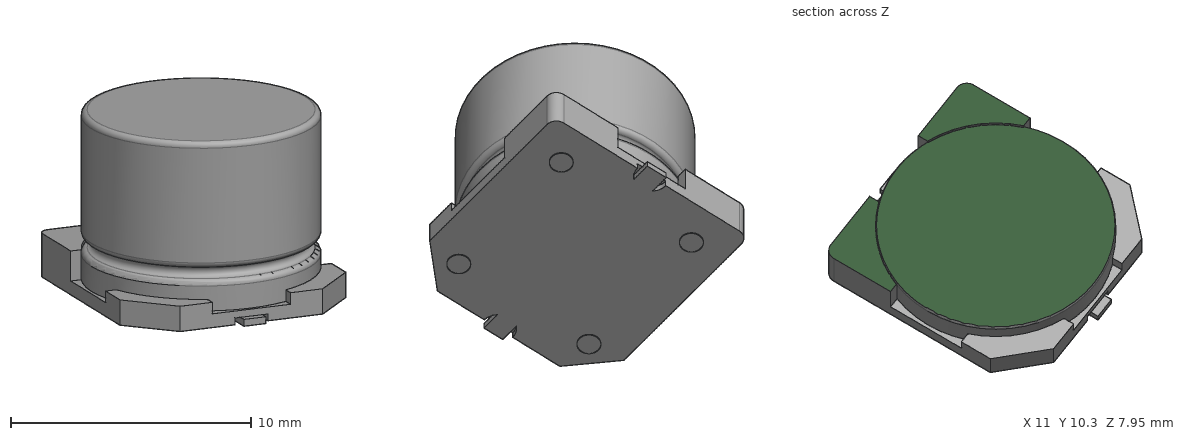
import cadquery as cq

BASE_WIDTH = 10.3
BASE_HEIGHT = 1.9
LOW_CORNER_HEIGHT = 1.1
CORNER_RADIUS = 0.5
CORNER_CHAMFER = 1.9
NOTCH_WIDTH = 3.57
NOTCH_FLOOR = 0.6

CAN_RADIUS = 5.0
CAN_TOP = 7.9
CAN_EDGE_RADIUS = 0.25
GROOVE_CENTRE_Z = 2.18
GROOVE_RADIUS = 0.25

LEAD_SPAN = 11.0
LEAD_WIDTH = 1.0
LEAD_THICKNESS = 0.3
RECESS_RADIUS = 0.75

FOOT_DIAMETER = 1.0
FOOT_HEIGHT = 0.05
FOOT_SPACING = 6.9


def make_lead_recesses():
    """Tool bodies for the half-round recesses at the bottom of the -X and +X sides."""
    wall_x = BASE_WIDTH / 2
    return (
        cq.Workplane("XY")
        .pushPoints([(-wall_x, 0), (wall_x, 0)])
        .circle(RECESS_RADIUS)
        .extrude(LEAD_THICKNESS)
    )


def make_base():
    """Square plate, rounded at -X, chamfered and lowered at +X, with side notches and a can seat."""
    half = BASE_WIDTH / 2
    base = cq.Workplane("XY").rect(BASE_WIDTH, BASE_WIDTH).extrude(BASE_HEIGHT)
    base = base.edges("|Z and <X").fillet(CORNER_RADIUS)
    base = base.edges("|Z and >X").chamfer(CORNER_CHAMFER)

    step = (
        cq.Workplane("XY", origin=(0, 0, LOW_CORNER_HEIGHT))
        .rect(half, BASE_WIDTH)
        .extrude(BASE_HEIGHT)
        .translate((half / 2, 0, 0))
    )
    notches = cq.Workplane("XY", origin=(0, 0, NOTCH_FLOOR))
    across_x = notches.rect(BASE_WIDTH, NOTCH_WIDTH).extrude(BASE_HEIGHT)
    across_y = notches.rect(NOTCH_WIDTH, BASE_WIDTH).extrude(BASE_HEIGHT)
    can_seat = notches.circle(CAN_RADIUS).extrude(BASE_HEIGHT)
    return base.cut(step).cut(across_x).cut(across_y).cut(can_seat).cut(make_lead_recesses())


def make_can():
    """Revolved can with a half-round groove blended into the wall above and below."""
    neck_radius = CAN_RADIUS - CAN_EDGE_RADIUS
    groove_top = GROOVE_CENTRE_Z + GROOVE_RADIUS
    groove_bottom = GROOVE_CENTRE_Z - GROOVE_RADIUS
    return (
        cq.Workplane("XZ")
        .moveTo(0, NOTCH_FLOOR)
        .lineTo(CAN_RADIUS, NOTCH_FLOOR)
        .lineTo(CAN_RADIUS, groove_bottom - CAN_EDGE_RADIUS)
        .radiusArc((neck_radius, groove_bottom), -CAN_EDGE_RADIUS)
        .threePointArc((neck_radius - GROOVE_RADIUS, GROOVE_CENTRE_Z), (neck_radius, groove_top))
        .radiusArc((CAN_RADIUS, groove_top + CAN_EDGE_RADIUS), -CAN_EDGE_RADIUS)
        .lineTo(CAN_RADIUS, CAN_TOP - CAN_EDGE_RADIUS)
        .radiusArc((neck_radius, CAN_TOP), -CAN_EDGE_RADIUS)
        .lineTo(0, CAN_TOP)
        .close()
        .revolve(360, (0, 0, 0), (0, 1, 0))
    )


def make_feet():
    """Four round standoffs below the base."""
    return (
        cq.Workplane("XY")
        .rect(FOOT_SPACING, FOOT_SPACING, forConstruction=True)
        .vertices()
        .circle(FOOT_DIAMETER / 2)
        .extrude(-FOOT_HEIGHT)
    )


def make_leads():
    """Flat strip flush with the underside, ending in a lead on each X side."""
    return cq.Workplane("XY").rect(LEAD_SPAN, LEAD_WIDTH).extrude(LEAD_THICKNESS)


result = make_base().union(make_can()).union(make_feet()).union(make_leads())